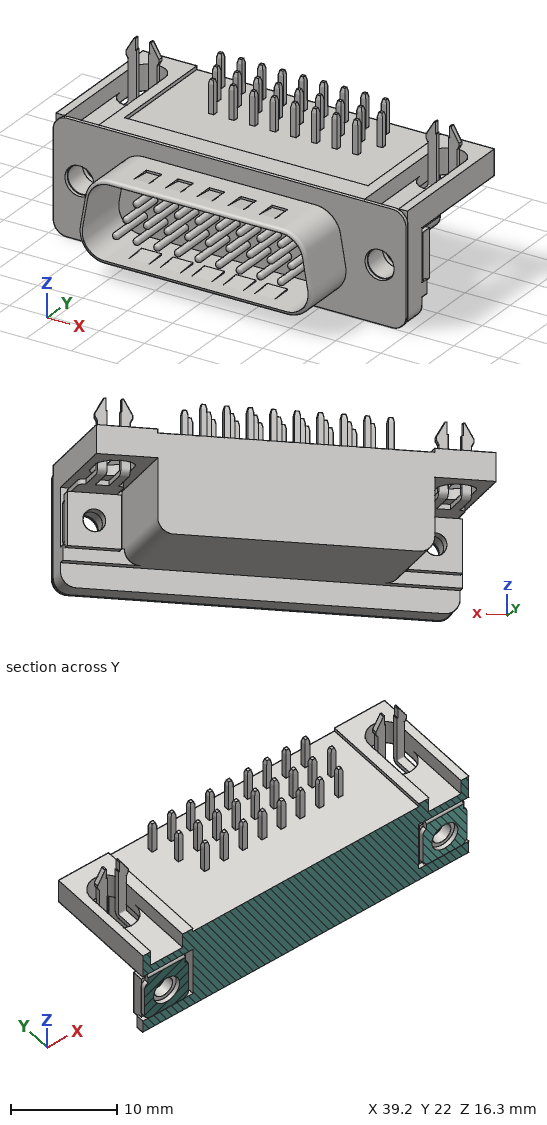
import cadquery as cq
import math


flange_width = 39.2
flange_height = 12.5
flange_thickness = 0.4
corner_radius = 1.53

mount_spacing = 33.32
thread_diameter = 2.2
mount_hole_diameter = 3.05
flange_hole_diameter = 3.2
sides = (-1, 1)

shroud_length = 6.1
shroud_width = 25.87
shroud_height = 8.9
shroud_radius = 2.82
shroud_slope = 10.0
shroud_wall = 0.4
lip_radius = 0.35

dimple_count = 5
dimple_pitch = 3.5
dimple_width = 1.7
dimple_length = 2.25
dimple_depth = 0.25
dimple_front = 1.65
bump_width = 2.25
bump_height = 0.137
bump_shift = 0.27

housing_width = 39.05
housing_back = 15.88
wall_back = 2.98
slab_thickness = 2.82
block_width = 27.05
block_bottom = -10.15
recess_depth = 0.4
ledge_back = 3.9
ledge_top = -8.62

channel_width = 3.8
channel_depth = 1.75
prong_opening_front = 8.27
prong_opening_back = 14.0

lead_row_pitch = 2.55
lead_middle_y = 11.45
lead_size = 0.6
lead_top = 3.18
lead_tip_height = 0.47
lead_tip_inset = 0.1

contact_row_length = 18.3
contact_rows_height = 3.95
first_contact_x = -9.72
row_counts = (9, 9, 8)
contact_diameter = 0.75
contact_tip_diameter = 0.16
contact_tip_y = -4.85

strip_thickness = 0.5
strip_gap = 0.25
strip_width = 3.2
strip_wide_width = 4.45
strip_step_y = 7.5
plate_bend_radius = 0.35
prong_bend_radius = 0.63
prong_inner_radius = 0.1
plate_width = 5.35
plate_height = 4.75
plate_radius = 0.65
prong_slot_width = 1.35
prong_top = 3.8
prong_tip_inner = 0.8
prong_tip_outer = 0.95
prong_taper_z = 2.6
barb_reach = 1.85
barb_top = 2.27
barb_bottom = 1.95
barb_root = 1.53

nut_size = 5.3
nut_thickness = 1.18

axis_z = -flange_height / 2
lead_rows_y = [lead_middle_y + step * lead_row_pitch for step in (1, 0, -1)]
contact_rows_z = [axis_z + step * contact_rows_height / 2 for step in (-1, 0, 1)]
contact_pitch = contact_row_length / (row_counts[0] - 1)
row_starts_x = [first_contact_x + row * contact_pitch / 2 for row in range(len(row_counts))]
strip_top = -slab_thickness - strip_gap
strip_bottom = strip_top - strip_thickness
prong_front = lead_middle_y - strip_thickness / 2
prong_back = prong_front + strip_thickness
plate_back = wall_back + strip_thickness
plate_bottom = axis_z - plate_height / 2


def block(x_range, y_range, z_range):
    """Box between the given limits."""
    size = [high - low for low, high in (x_range, y_range, z_range)]
    corner = (x_range[0], y_range[0], z_range[0])
    return cq.Workplane("XY").box(*size, centered=False).translate(corner)


def centered_block(center_x, width, y_range, z_range):
    """Box between Y and Z limits, centred on an X position."""
    return block((center_x - width / 2, center_x + width / 2), y_range, z_range)


def y_cylinder(x, z, diameter, y_range):
    """Round bar along Y."""
    plane = cq.Workplane("XZ", origin=(x, y_range[0], z))
    return plane.circle(diameter / 2).extrude(y_range[0] - y_range[1])


def shroud_prism(inset, y_range):
    """D-shaped prism along Y, its outline moved inwards by inset."""
    slope = math.radians(shroud_slope)
    radius = shroud_radius - inset
    half_height = shroud_height / 2 - inset
    arc_x = shroud_width / 2 - shroud_radius
    arc_z = shroud_radius - shroud_height / 2
    side_x_at_axis = arc_x + radius / math.cos(slope) + arc_z * math.tan(slope)
    lean = half_height * math.tan(slope)
    top_x = side_x_at_axis - lean
    bottom_x = side_x_at_axis + lean
    outline = [
        (-bottom_x, -half_height),
        (bottom_x, -half_height),
        (top_x, half_height),
        (-top_x, half_height),
    ]
    plane = cq.Workplane("XZ", origin=(0, y_range[0], axis_z))
    prism = plane.polyline(outline).close().extrude(y_range[0] - y_range[1])
    return prism.edges("|Y").fillet(radius)


def ramp(x, width, front_z, back_z):
    """Wedge along Y at the dimples, level with front_z at its front and reaching back_z at its rear."""
    front_y = dimple_front - shroud_length
    back_y = front_y + dimple_length
    outline = [(front_y, front_z), (back_y, front_z), (back_y, back_z)]
    return cq.Workplane("YZ", origin=(x - width / 2, 0, 0)).polyline(outline).close().extrude(width)


def press_dimples(shell, side):
    """Press the row of sloping dimples into the upper (1) or lower (-1) shroud wall."""
    outer_z = axis_z + side * shroud_height / 2
    inner_z = outer_z - side * shroud_wall
    for index in range(dimple_count):
        x = (index - (dimple_count - 1) / 2) * dimple_pitch
        shell = shell.cut(ramp(x, dimple_width, outer_z, outer_z - side * dimple_depth))
        shell = shell.union(ramp(x + side * bump_shift, bump_width, inner_z, inner_z - side * bump_height))
    return shell


def make_shell():
    """Metal flange with the D-shaped shroud."""
    flange = centered_block(0, flange_width, (0, flange_thickness), (-flange_height, 0))
    flange = flange.edges("|Y").fillet(corner_radius)
    shroud = shroud_prism(0, (-shroud_length, 0)).faces("<Y").edges().fillet(lip_radius)
    shell = flange.union(shroud)
    shell = shell.cut(shroud_prism(shroud_wall, (-shroud_length, flange_thickness)))
    for side in sides:
        hole_x = side * mount_spacing / 2
        shell = shell.cut(y_cylinder(hole_x, axis_z, flange_hole_diameter, (0, flange_thickness)))
        shell = press_dimples(shell, side)
    return shell


def make_nut(center_x):
    """Square nut behind the bracket plate."""
    y_range = (plate_back, plate_back + nut_thickness)
    z_range = (axis_z - nut_size / 2, axis_z + nut_size / 2)
    nut = centered_block(center_x, nut_size, y_range, z_range)
    return nut.cut(y_cylinder(center_x, axis_z, thread_diameter, y_range))


def make_lead(x, y):
    """Square solder lead with a tapered tip."""
    lead = centered_block(x, lead_size, (y - lead_size / 2, y + lead_size / 2), (-recess_depth, lead_top))
    return lead.faces(">Z").chamfer(lead_tip_height, lead_tip_inset)


def make_contact(x, z):
    """Round contact pin with a rounded tip."""
    contact = y_cylinder(x, z, contact_diameter, (contact_tip_y, flange_thickness))
    return contact.faces("<Y").edges().fillet((contact_diameter - contact_tip_diameter) / 2)


def add_pins(housing):
    """Three staggered rows of contacts, each row with its row of leads."""
    for count, start_x, lead_y, contact_z in zip(row_counts, row_starts_x, lead_rows_y, contact_rows_z):
        for index in range(count):
            x = start_x + index * contact_pitch
            housing = housing.union(make_lead(x, lead_y))
            housing = housing.union(make_contact(x, contact_z))
    return housing


def prong_channel(center_x):
    """Open channel in the slab, ending in a round-ended opening for the prongs."""
    radius = channel_width / 2
    opening_length = prong_opening_back - prong_opening_front
    opening_y = prong_opening_front + opening_length / 2
    plane = cq.Workplane("XY", origin=(center_x, opening_y, -slab_thickness))
    opening = plane.slot2D(opening_length, channel_width, angle=90).extrude(slab_thickness)
    y_range = (flange_thickness, prong_opening_back - radius)
    return opening.union(centered_block(center_x, channel_width, y_range, (-channel_depth, 0)))


def make_housing():
    """Insulating housing with its contacts and leads."""
    wall = centered_block(0, housing_width, (flange_thickness, wall_back), (-flange_height, 0))
    wall = wall.edges("|Y and <Z").fillet(corner_radius)
    slab = centered_block(0, housing_width, (flange_thickness, housing_back), (-slab_thickness, 0))
    body = centered_block(0, block_width, (wall_back, housing_back), (block_bottom, -recess_depth))
    body = body.edges("|Y and <Z").fillet(corner_radius)
    ledge = centered_block(0, housing_width, (wall_back, ledge_back), (block_bottom, ledge_top))
    recess = centered_block(0, block_width, (wall_back, housing_back), (-recess_depth, 0))
    housing = wall.union(slab).union(body).union(ledge).cut(recess)
    for side in sides:
        hole_x = side * mount_spacing / 2
        hole = y_cylinder(hole_x, axis_z, mount_hole_diameter, (flange_thickness, wall_back))
        housing = housing.cut(hole)
        housing = housing.cut(prong_channel(hole_x))
        housing = housing.cut(make_nut(hole_x))
    return add_pins(housing)


def bent_strip():
    """Strip bent from the plate, back under the slab and up into the channel opening."""
    wide = strip_wide_width
    neck = centered_block(0, wide, (wall_back, plate_back), (axis_z, strip_top))
    flat = centered_block(0, wide, (wall_back, prong_back), (strip_bottom, strip_top))
    upright = centered_block(0, wide, (prong_front, prong_back), (strip_bottom, 0))
    strip = neck.union(flat).union(upright)
    bends = [
        (wall_back, strip_top, plate_bend_radius),
        (prong_back, strip_bottom, prong_bend_radius),
        (prong_front, strip_top, prong_inner_radius),
    ]
    for y, z, radius in bends:
        strip = strip.edges(cq.NearestToPointSelector((0, y, z))).fillet(radius)
    wide_part = centered_block(0, wide, (wall_back, strip_step_y), (axis_z, 0))
    wide_part = wide_part.edges("|Z and >Y").fillet((wide - strip_width) / 2)
    narrow_part = centered_block(0, strip_width, (wall_back, prong_back), (axis_z, 0))
    split = centered_block(0, prong_slot_width, (strip_step_y, prong_back), (axis_z, 0))
    return strip.intersect(wide_part.union(narrow_part).cut(split))


def make_prong(side):
    """Barbed prong above the board face, on the -X or +X side of its bracket."""
    half_slot = prong_slot_width / 2
    half_strip = strip_width / 2
    outline = [
        (half_slot, 0),
        (half_slot, prong_taper_z),
        (prong_tip_inner, prong_taper_z),
        (prong_tip_inner, prong_top),
        (prong_tip_outer, prong_top),
        (barb_reach, barb_top),
        (barb_reach, barb_bottom),
        (half_strip, barb_root),
        (half_strip, 0),
    ]
    plane = cq.Workplane("XZ", origin=(0, prong_back, 0))
    return plane.polyline([(side * x, z) for x, z in outline]).close().extrude(strip_thickness)


def make_bracket(center_x):
    """Board lock bent from strip: screw plate, bent strip and two prongs."""
    plate_top = plate_bottom + plate_height
    plate = centered_block(0, plate_width, (wall_back, plate_back), (plate_bottom, plate_top))
    bracket = plate.edges("|Y").fillet(plate_radius).union(bent_strip())
    for side in sides:
        bracket = bracket.union(make_prong(side))
    bracket = bracket.cut(y_cylinder(0, axis_z, mount_hole_diameter, (wall_back, plate_back)))
    return bracket.translate((center_x, 0, 0))


shell = make_shell()
housing = make_housing()
brackets = [make_bracket(side * mount_spacing / 2) for side in sides]
nuts = [make_nut(side * mount_spacing / 2) for side in sides]

result = cq.Compound.makeCompound([body.val() for body in (shell, housing, *brackets, *nuts)])